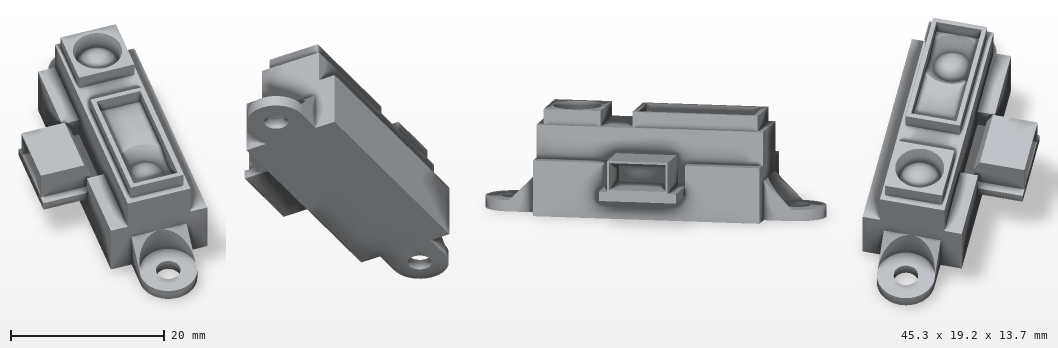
import cadquery as cq
import math

overall_length = 45.27
ear_radius = 3.79
ear_thickness = 1.5
ear_hole_radius = 1.6
gusset_height = 5.26

body_length = overall_length - 4 * ear_radius
body_width = 13.26
body_height = 7.36
tower_width = 8.62
tower_height = 11.73
block_height = 2.0
housing_top = tower_height + block_height
end_margin = 0.82

emitter_block_size = 7.62
emitter_x = -body_length / 2 + end_margin + emitter_block_size / 2
emitter_bore_top_radius = 3.2
emitter_lens_radius = 2.57
emitter_lens_height = 1.1
emitter_seat_z = tower_height

receiver_block_length = 16.66
receiver_block_width = 7.26
receiver_rim = 0.6
receiver_floor_z = tower_height
receiver_block_x = body_length / 2 - end_margin - receiver_block_length / 2
receiver_cone_top_radius = 4.06
receiver_lens_radius = 2.4
receiver_lens_height = 0.9
receiver_seat_z = receiver_floor_z - 1.5
receiver_lens_x = body_length / 2 - end_margin - receiver_rim - receiver_cone_top_radius

board_width = 10.26
board_thickness = 1.23
board_bottom_z = 3.38
board_top_z = board_bottom_z + board_thickness
board_back_y = -tower_width / 2
board_front_y = -12.6

connector_width = 8.06
connector_top_z = 8.73
connector_wall = 0.28
connector_back_y = -5.79
connector_bevel_run = 0.84
connector_bevel_drop = 1.7


def box_on(length, width, height, x=0.0, y=0.0, z=0.0):
    """Box centred on (x, y) that stands on the level z."""
    return cq.Workplane("XY").box(length, width, height, centered=(True, True, False)).translate((x, y, z))


def disc(radius, height, x, z=0.0):
    return cq.Workplane("XY").circle(radius).extrude(height).translate((x, 0, z))


def tapered_bore(bottom_radius, top_radius, x, bottom_z, top_z):
    """Cone frustum that opens upward, used as a cutter above a lens."""
    depth = top_z - bottom_z
    cone = cq.Solid.makeCone(bottom_radius, top_radius, depth, pnt=cq.Vector(x, 0, bottom_z))
    return cq.Workplane(obj=cone)


def make_ear(side):
    """Mounting ear with a sloping gusset, scooped out around the screw head."""
    wall_x = side * body_length / 2
    ear_x = side * (body_length / 2 + ear_radius)
    gusset = (
        cq.Workplane("XZ")
        .moveTo(wall_x, 0)
        .lineTo(ear_x, 0)
        .lineTo(ear_x, ear_thickness)
        .lineTo(wall_x, gusset_height)
        .close()
        .extrude(ear_radius, both=True)
    )
    gusset = gusset.cut(disc(ear_radius, gusset_height, ear_x, ear_thickness))
    ear = disc(ear_radius, ear_thickness, ear_x).union(gusset)
    return ear.cut(disc(ear_hole_radius, ear_thickness, ear_x))


def make_housing():
    housing = box_on(body_length, body_width, body_height)
    housing = housing.union(box_on(body_length, tower_width, tower_height))

    housing = housing.union(box_on(emitter_block_size, emitter_block_size, housing_top, x=emitter_x))
    housing = housing.union(
        box_on(receiver_block_length, receiver_block_width, housing_top, x=receiver_block_x)
    )
    for side in (-1, 1):
        housing = housing.union(make_ear(side))

    housing = housing.cut(
        tapered_bore(emitter_lens_radius, emitter_bore_top_radius, emitter_x, emitter_seat_z, housing_top)
    )

    pocket = box_on(
        receiver_block_length - 2 * receiver_rim,
        receiver_block_width - 2 * receiver_rim,
        housing_top - receiver_seat_z,
        x=receiver_block_x,
        z=receiver_floor_z,
    )
    cone = tapered_bore(
        receiver_lens_radius, receiver_cone_top_radius, receiver_lens_x, receiver_seat_z, receiver_floor_z
    )
    cone_bounds = pocket.translate((0, 0, receiver_seat_z - receiver_floor_z))
    housing = housing.cut(pocket).cut(cone.intersect(cone_bounds))

    notch_depth = (body_width - tower_width) / 2
    notch = box_on(
        board_width,
        notch_depth,
        body_height - board_bottom_z,
        y=board_back_y - notch_depth / 2,
        z=board_bottom_z,
    )
    return housing.cut(notch)


def make_circuit_board():
    return box_on(
        board_width,
        board_back_y - board_front_y,
        board_thickness,
        y=(board_back_y + board_front_y) / 2,
        z=board_bottom_z,
    )


def connector_prism(inset):
    """Connector outline with its bevelled upper back edge, inset on all faces except the front."""
    back_y = connector_back_y - inset
    bottom_z = board_top_z + inset
    top_z = connector_top_z - inset
    bevel_angle = math.atan2(connector_bevel_run, connector_bevel_drop)
    bevel_low_z = connector_top_z - connector_bevel_drop - inset * math.tan(bevel_angle / 2)
    bevel_high_y = back_y - (top_z - bevel_low_z) * math.tan(bevel_angle)
    return (
        cq.Workplane("YZ")
        .moveTo(board_front_y, bottom_z)
        .lineTo(back_y, bottom_z)
        .lineTo(back_y, bevel_low_z)
        .lineTo(bevel_high_y, top_z)
        .lineTo(board_front_y, top_z)
        .close()
        .extrude(connector_width / 2 - inset, both=True)
    )


def make_connector():
    return connector_prism(0).cut(connector_prism(connector_wall))


def make_lens(radius, height, x, seat_z):
    """Flat-bottomed spherical dome resting on the bottom of its bore."""
    sphere_radius = (radius**2 + height**2) / (2 * height)
    half_angle = math.asin(radius / sphere_radius)
    arc_middle_x = sphere_radius * math.sin(half_angle / 2)
    arc_middle_y = height - sphere_radius * (1 - math.cos(half_angle / 2))
    return (
        cq.Workplane("XZ")
        .lineTo(radius, 0)
        .threePointArc((arc_middle_x, arc_middle_y), (0, height))
        .close()
        .revolve(360, (0, 0, 0), (0, 1, 0))
        .translate((x, 0, seat_z))
    )


lens_placements = [
    (emitter_lens_radius, emitter_lens_height, emitter_x, emitter_seat_z),
    (receiver_lens_radius, receiver_lens_height, receiver_lens_x, receiver_seat_z),
]

housing = make_housing()
circuit_board = make_circuit_board()
connector = make_connector()
lenses = [make_lens(*placement).val() for placement in lens_placements]

result = cq.Compound.makeCompound([
    housing.val(),
    circuit_board.val(),
    connector.val(),
    *lenses,
])